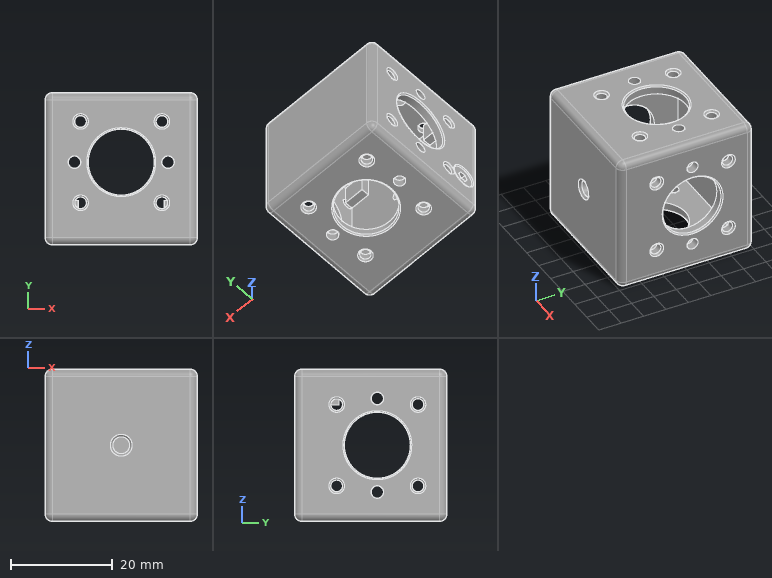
import cadquery as cq
import math

cube_size = 30.0
half_cube = cube_size / 2
edge_radius = 1.5

wall = 2.0
front_wall = 7.0
inner_half = half_cube - wall
cavity_front_y = front_wall - half_cube

pattern_y = 1.3
bore_diameter = 12.96
bore_chamfer = 0.3
tapped_diameter = 2.26
tapped_chamfer = 0.4
tapped_offset = 8.0
dowel_diameter = 2.4
dowel_offset = 9.2

mount_diameter = 3.3
mount_chamfer = 0.5

screw_y = -10.86
screw_z = -6.4
screw_diameter = 5.0
screw_length = 6.0
screw_chamfer = 0.25
hex_flats = 2.0
hex_depth = 2.0
screw_start_x = screw_chamfer - half_cube

block_inner_x = 8.45
block_back_y = -6.2
block_bottom_z = 7.9


def box_between(low, high):
    """Box spanning two opposite corners."""
    size = [b - a for a, b in zip(low, high)]
    return cq.Workplane("XY").box(*size, centered=False).translate(low)


def wall_hole(diameter, chamfer):
    """Cutter along Z through both Z walls of the cube, each outer mouth chamfered."""
    radius = diameter / 2
    mouth_radius = radius + chamfer
    throat_z = half_cube - chamfer
    profile = [
        (0, -half_cube),
        (mouth_radius, -half_cube),
        (radius, -throat_z),
        (radius, throat_z),
        (mouth_radius, half_cube),
        (0, half_cube),
    ]
    return cq.Workplane("XZ").polyline(profile).close().revolve(360, (0, 0), (0, 1))


def hole_pattern():
    """Bore, four tapped holes and two dowel holes, all along Z."""
    pattern = wall_hole(bore_diameter, bore_chamfer)
    tapped = wall_hole(tapped_diameter, tapped_chamfer)
    dowel = cq.Workplane("XY").circle(dowel_diameter / 2).extrude(half_cube, both=True)
    for side in (-1, 1):
        pattern = pattern.union(dowel.translate((side * dowel_offset, 0, 0)))
        for end in (-1, 1):
            pattern = pattern.union(tapped.translate((side * tapped_offset, end * tapped_offset, 0)))
    return pattern.translate((0, pattern_y, 0))


def mount_hole():
    """Chamfered hole along Y from the front face into the cavity."""
    radius = mount_diameter / 2
    profile = [
        (0, -half_cube),
        (radius + mount_chamfer, -half_cube),
        (radius, mount_chamfer - half_cube),
        (radius, cavity_front_y),
        (0, cavity_front_y),
    ]
    return cq.Workplane("XY").polyline(profile).close().revolve(360, (0, 0), (0, 1))


def screw_plane(x):
    """Workplane across the screw axis at the given X."""
    return cq.Workplane("YZ", origin=(x, screw_y, screw_z))


def screw_body():
    """Plain cylinder of the set screw, also used to cut the hole that it fills."""
    return screw_plane(screw_start_x).circle(screw_diameter / 2).extrude(screw_length)


def screw_mouth():
    """Conical mouth of the screw hole, narrowing from the -X face to the screw."""
    radius = screw_diameter / 2
    return (
        screw_plane(-half_cube)
        .circle(radius + screw_chamfer)
        .workplane(offset=screw_chamfer)
        .circle(radius)
        .loft(ruled=True)
    )


def make_housing():
    """Rounded hollow cube with all its holes."""
    housing = cq.Workplane("XY").box(cube_size, cube_size, cube_size).edges().fillet(edge_radius)
    housing = housing.cut(box_between(
        (-inner_half, cavity_front_y, -inner_half),
        (inner_half, inner_half, inner_half),
    ))
    pattern = hole_pattern()
    housing = housing.cut(pattern)
    housing = housing.cut(pattern.rotate((0, 0, 0), (0, 1, 0), 90))
    housing = housing.cut(mount_hole())
    return housing.cut(screw_body()).cut(screw_mouth())


def make_screw():
    """Set screw with a hexagon socket, two of its flats facing up and down."""
    corner_diameter = hex_flats / math.cos(math.pi / 6)
    socket = screw_plane(screw_start_x).polygon(6, corner_diameter).extrude(hex_depth)
    return screw_body().cut(socket)


def make_corner_block(side):
    """Block against the front, top and side walls; side is -1 for -X and 1 for +X."""
    near_x, far_x = sorted((side * block_inner_x, side * inner_half))
    return box_between(
        (near_x, cavity_front_y, block_bottom_z),
        (far_x, block_back_y, inner_half),
    )


housing = make_housing()
screw = make_screw()
corner_blocks = [make_corner_block(side) for side in (-1, 1)]

result = cq.Compound.makeCompound([
    housing.solids().val(),
    screw.solids().val(),
    *[block.val() for block in corner_blocks],
])